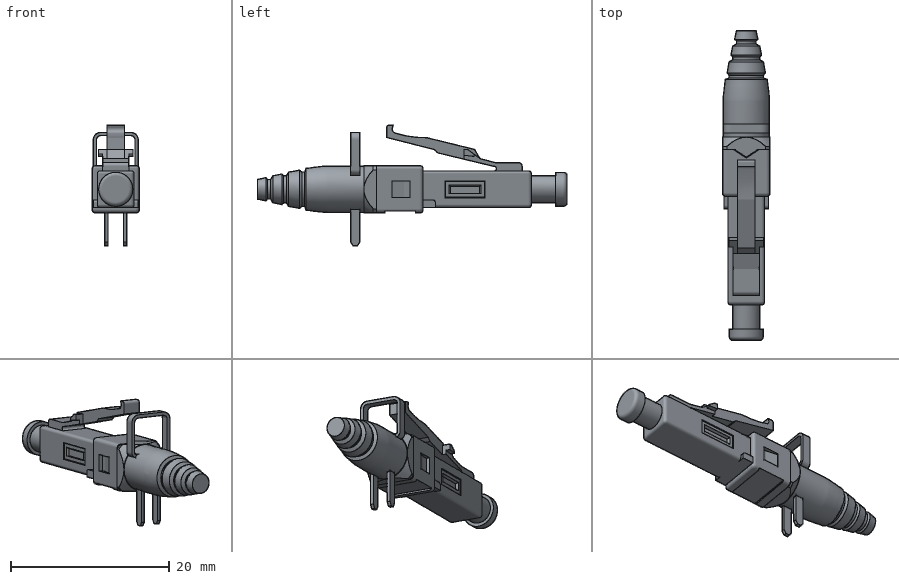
import cadquery as cq
import math


boot_end_y = 19.6
collar_back_y = 6.1
joint_y = 4.55
shell_front_y = -1.37
nose_front_y = -15.1
cap_tip_y = -19.6

boot_radius = 2.95
boot_shoulder_y = 13.45
boot_shoulder_radius = 2.65
boot_taper_y = 12.45
boot_taper_radius = 2.8
boot_straight_y = 10.7
ribs = [
    (boot_end_y, 1.25, 18.5, 1.5, 18.3, 17.9),
    (17.65, 1.72, 16.5, 1.95, 16.25, 15.9),
    (15.65, 2.2, 14.25, 2.45, 13.95, 13.6),
]
collar_corner_radius = 3.9
collar_corner_y = 4.95
collar_mid_radius = 3.37
collar_mid_y = 5.65

notch_half_width = 1.6
notch_length = 1.05
tongue_gap = 0.1
tongue_thickness = 0.4

shell_size = 6.0
shell_edge_radius = 0.47
shell_front_radius = 0.4
nose_size = 4.65
nose_edge_radius = 0.4
shell_half = shell_size / 2
nose_half = nose_size / 2

belly_slot_back_y = 3.45
belly_slot_front_y = -0.4
belly_slot_depth = 0.25

snap_back_y = 2.55
snap_ramp_end_y = 1.0
snap_front_y = 0.27
snap_top_z = 1.05
snap_shallow_depth = 0.15
snap_depth = 0.47

tab_front_y = -2.95
tab_half_span = 2.82
tab_top_z = -1.35
tab_corner_radius = 0.4

panel_center_y = -6.65
panel_length = 5.05
panel_height = 2.15
panel_depth = 0.08
panel_slot_length = 4.08
panel_slot_height = 1.1
panel_slot_depth = 0.3
panel_wall_draft = 45.0
panel_slot_draft = 32.0

lever_width = 2.27
foot_width = 3.3
wing_span = 4.4
foot_front_y = -13.9
foot_top_z = 3.37
foot_corner_radius = 0.47
foot_back_y = -10.6
foot_gap_y = -10.43
foot_gap_end_y = -10.62
foot_gap_end_z = 2.55
step_y = -8.6
step_z = 3.9
wing_back_y = -6.55
wing_front_y = -7.8
wing_top_z = 5.05
wing_bend_y = -6.98
wing_bottom_back_z = 4.3
wing_bottom_front_z = 4.15
underside_front_y = -10.27
underside_front_z = 2.9
underside_back_y = -3.25
underside_back_z = 4.6
lever_tip_y = 3.25
lever_tip_z = 8.1
lever_tip_bottom_z = 6.55
lever_tip_radius = 0.35
lever_front_y = -7.88
lever_front_z = 5.05
lever_crest_y = -1.8
lever_crest_z = 6.55
lever_dip_y = 0.15
lever_dip_z = 6.65
hook_start_y = 2.08
hook_start_z = 7.1
hook_mid_y = 2.45
hook_mid_z = 7.35
hook_lip_y = 2.5
hook_lip_z = 7.72
hook_end_y = 2.4
lever_thin_y = -2.8
lever_thin_z = 5.0

clip_back_y = 7.8
clip_width = 1.18
clip_top_z = 7.2
clip_bottom_z = -7.17
clip_thickness = 0.45
clip_half_span = 2.85
clip_shelf_z = 1.72
clip_top_radius = 0.98
clip_bend_radius = 0.7
leg_half_span = 1.4
leg_tip_length = 0.5
leg_tip_inset = 0.3

cap_radius = 1.72
cap_flange_radius = 2.15
cap_flange_back_y = -18.15
cap_tip_radius = 0.47


def block(x_size, y_front, y_back, z_bottom, z_top):
    """Box centred on X between the given Y and Z limits."""
    return (
        cq.Workplane("XY")
        .box(x_size, y_back - y_front, z_top - z_bottom, centered=(True, False, False))
        .translate((0, y_front, z_bottom))
    )


def both_sides(shape):
    """The shape together with its mirror image across X = 0."""
    return shape.union(shape.mirror("YZ"))


def v_prism(half_width, length):
    """V-shaped plate under the top face, pointing to -Y from the joint."""
    return (
        cq.Workplane("XY", origin=(0, 0, shell_half - tongue_thickness))
        .moveTo(-half_width, joint_y)
        .lineTo(half_width, joint_y)
        .lineTo(0, joint_y - length)
        .close()
        .extrude(tongue_thickness)
    )


def make_clip():
    shelf_top_z = clip_shelf_z + clip_thickness
    inner_half_span = clip_half_span - clip_thickness
    leg_inner = leg_half_span - clip_thickness
    right_edge = [
        (clip_half_span, clip_top_z),
        (clip_half_span, clip_shelf_z),
        (leg_half_span, clip_shelf_z),
        (leg_half_span, clip_bottom_z),
        (leg_inner, clip_bottom_z),
        (leg_inner, shelf_top_z),
        (inner_half_span, shelf_top_z),
        (inner_half_span, clip_top_z - clip_thickness),
    ]
    left_edge = [(-x, z) for x, z in reversed(right_edge)]
    strap = (
        cq.Workplane("XZ", origin=(0, clip_back_y, 0))
        .polyline(right_edge + left_edge)
        .close()
        .extrude(clip_width)
    )

    def round_edges(body, x, z, radius):
        reach = 0.05
        for side in (-1, 1):
            picker = cq.selectors.BoxSelector(
                (side * x - reach, clip_back_y - clip_width, z - reach),
                (side * x + reach, clip_back_y, z + reach),
            )
            body = body.edges("|Y").edges(picker).fillet(radius)
        return body

    strap = round_edges(strap, clip_half_span, clip_top_z, clip_top_radius)
    strap = round_edges(strap, inner_half_span, clip_top_z - clip_thickness, clip_top_radius - clip_thickness)
    strap = round_edges(strap, clip_half_span, clip_shelf_z, clip_bend_radius)
    strap = round_edges(strap, inner_half_span, shelf_top_z, clip_bend_radius - clip_thickness)

    clip_front_y = clip_back_y - clip_width
    taper_start_z = clip_bottom_z + leg_tip_length
    pointed = (
        cq.Workplane("YZ")
        .polyline([
            (clip_back_y, clip_top_z),
            (clip_back_y, taper_start_z),
            (clip_back_y - leg_tip_inset, clip_bottom_z),
            (clip_front_y + leg_tip_inset, clip_bottom_z),
            (clip_front_y, taper_start_z),
            (clip_front_y, clip_top_z),
        ])
        .close()
        .extrude(clip_half_span, both=True)
    )
    return strap.intersect(pointed)


def make_boot(clip):
    outline = cq.Workplane("XY").moveTo(0, boot_end_y)
    for back_y, back_radius, crest_y, crest_radius, neck_start_y, neck_end_y in ribs:
        outline = (
            outline.lineTo(back_radius, back_y)
            .lineTo(crest_radius, crest_y)
            .lineTo(back_radius, neck_start_y)
            .lineTo(back_radius, neck_end_y)
        )
    barrel = (
        outline.lineTo(boot_shoulder_radius, boot_shoulder_y)
        .lineTo(boot_taper_radius, boot_taper_y)
        .threePointArc(shoulder_mid_point(), (boot_radius, boot_straight_y))
        .lineTo(boot_radius, collar_back_y)
        .lineTo(0, collar_back_y)
        .close()
        .revolve(360, (0, 0, 0), (0, 1, 0))
    )
    collar = block(shell_size, joint_y, collar_back_y, -shell_half, shell_half)
    collar = collar.edges("|Y").fillet(shell_edge_radius)
    rounding = (
        cq.Workplane("XY")
        .moveTo(0, collar_back_y)
        .lineTo(shell_half, collar_back_y)
        .threePointArc((collar_mid_radius, collar_mid_y), (collar_corner_radius, collar_corner_y))
        .lineTo(collar_corner_radius, joint_y)
        .lineTo(0, joint_y)
        .close()
        .revolve(360, (0, 0, 0), (0, 1, 0))
    )
    tongue = v_prism(notch_half_width - tongue_gap, notch_length - tongue_gap)
    return barrel.union(collar.intersect(rounding)).union(tongue).cut(clip)


def shoulder_mid_point():
    """Middle of the arc from the shoulder cone that ends parallel to Y at the barrel."""
    run = boot_taper_y - boot_straight_y
    rise = boot_radius - boot_taper_radius
    arc_radius = (run**2 + rise**2) / (2 * rise)
    half_angle = math.asin(run / arc_radius) / 2
    return (
        boot_radius - arc_radius * (1 - math.cos(half_angle)),
        boot_straight_y + arc_radius * math.sin(half_angle),
    )


def make_shell():
    shell = block(shell_size, shell_front_y, joint_y, -shell_half, shell_half)
    shell = shell.edges("|Y").fillet(shell_edge_radius)
    shell = shell.faces("<Y").edges().fillet(shell_front_radius)
    belly_slot = block(
        shell_size, belly_slot_front_y, belly_slot_back_y, -shell_half, -shell_half + belly_slot_depth
    )
    return shell.cut(belly_slot).cut(v_prism(notch_half_width, notch_length)).cut(make_snap_windows())


def make_snap_windows():
    """Side pockets whose floor ramps down toward -Y and then runs flat."""
    window = (
        cq.Workplane("XY", origin=(0, 0, -snap_top_z))
        .polyline([
            (-shell_half, snap_back_y),
            (-shell_half + snap_shallow_depth, snap_back_y),
            (-shell_half + snap_depth, snap_ramp_end_y),
            (-shell_half + snap_depth, snap_front_y),
            (-shell_half, snap_front_y),
        ])
        .close()
        .extrude(2 * snap_top_z)
    )
    return both_sides(window)


def make_nose():
    nose = block(nose_size, nose_front_y, shell_front_y, -nose_half, nose_half)
    nose = nose.edges("|Y").fillet(nose_edge_radius)
    nose = nose.faces("<Y").edges().fillet(nose_edge_radius)
    return nose.cut(make_side_panels())


def make_side_panels():
    """Shallow drafted recess with a deeper slot in each side of the nose."""
    def drafted_pocket(length, height, center_z, inset, depth, draft):
        plane = cq.Plane(
            origin=(-nose_half + inset, panel_center_y, center_z), xDir=(0, 1, 0), normal=(1, 0, 0)
        )
        return cq.Workplane(plane).rect(length, height).extrude(depth, taper=draft)

    panel = drafted_pocket(panel_length, panel_height, 0, 0, panel_depth, panel_wall_draft)
    slot_bottom_z = -panel_slot_height / 2
    slot = drafted_pocket(
        panel_slot_length, 2 * panel_slot_height, slot_bottom_z,
        panel_depth, panel_slot_depth, panel_slot_draft,
    )
    upper_half = block(
        nose_size, nose_front_y, shell_front_y, slot_bottom_z, slot_bottom_z + panel_slot_height
    )
    return both_sides(panel.union(slot.intersect(upper_half)))


def make_tabs():
    tabs = block(2 * tab_half_span, tab_front_y, shell_front_y, -nose_half, tab_top_z)
    return tabs.edges("|X and <Y and >Z").fillet(tab_corner_radius)


def underside_z(y):
    """Height of the lever's straight underside at station y."""
    slope = (underside_back_z - underside_front_z) / (underside_back_y - underside_front_y)
    return underside_front_z + slope * (y - underside_front_y)


def shoulder_z(y):
    """Height of the sloping shoulder between the wing tops and the flexing strip."""
    slope = (wing_top_z - step_z) / (wing_bend_y - step_y)
    return step_z + slope * (y - step_y)


def make_foot():
    """Anchor block and the wide strip that flexes up from it."""
    sunk_z = nose_half - nose_edge_radius
    foot = (
        cq.Workplane("YZ")
        .moveTo(foot_front_y, sunk_z)
        .lineTo(foot_front_y, foot_top_z)
        .lineTo(foot_back_y, foot_top_z)
        .lineTo(step_y, step_z)
        .lineTo(wing_bend_y, wing_top_z)
        .lineTo(wing_back_y, wing_top_z)
        .lineTo(wing_back_y, underside_z(wing_back_y))
        .lineTo(underside_front_y, underside_front_z)
        .threePointArc((foot_gap_end_y, foot_gap_end_z), (foot_gap_y, nose_half))
        .lineTo(foot_gap_y, sunk_z)
        .close()
        .extrude(foot_width / 2, both=True)
    )
    top_corner = cq.selectors.NearestToPointSelector((0, foot_front_y, foot_top_z))
    return foot.edges(top_corner).fillet(foot_corner_radius)


def make_wings():
    return (
        cq.Workplane("YZ")
        .polyline([
            (wing_back_y, wing_top_z),
            (wing_bend_y, wing_top_z),
            (wing_front_y, shoulder_z(wing_front_y)),
            (wing_front_y, wing_bottom_front_z),
            (wing_back_y, wing_bottom_back_z),
        ])
        .close()
        .extrude(wing_span / 2, both=True)
    )


def make_lever():
    """Narrow finger lever with a hooked end."""
    return (
        cq.Workplane("YZ")
        .moveTo(step_y, underside_z(step_y))
        .lineTo(step_y, step_z)
        .lineTo(lever_front_y, lever_front_z)
        .lineTo(lever_crest_y, lever_crest_z)
        .threePointArc((lever_dip_y, lever_dip_z), (hook_start_y, hook_start_z))
        .threePointArc((hook_mid_y, hook_mid_z), (hook_lip_y, hook_lip_z))
        .lineTo(hook_end_y, lever_tip_z)
        .lineTo(lever_tip_y - lever_tip_radius, lever_tip_z)
        .radiusArc((lever_tip_y, lever_tip_z - lever_tip_radius), lever_tip_radius)
        .lineTo(lever_tip_y, lever_tip_bottom_z)
        .lineTo(lever_thin_y, lever_thin_z)
        .lineTo(underside_back_y, underside_back_z)
        .close()
        .extrude(lever_width / 2, both=True)
    )


def make_housing():
    housing = make_shell().union(make_nose()).union(make_tabs())
    return housing.union(make_foot()).union(make_wings()).union(make_lever())


def make_dust_cap():
    cap = (
        cq.Workplane("XY")
        .moveTo(0, nose_front_y)
        .lineTo(cap_radius, nose_front_y)
        .lineTo(cap_radius, cap_flange_back_y)
        .lineTo(cap_flange_radius, cap_flange_back_y)
        .lineTo(cap_flange_radius, cap_tip_y)
        .lineTo(0, cap_tip_y)
        .close()
        .revolve(360, (0, 0, 0), (0, 1, 0))
    )
    return cap.faces("<Y").edges().fillet(cap_tip_radius)


clip = make_clip()
boot = make_boot(clip)
housing = make_housing()
dust_cap = make_dust_cap()

result = cq.Compound.makeCompound(
    [*boot.solids().vals(), *housing.solids().vals(), *clip.solids().vals(), *dust_cap.solids().vals()]
)